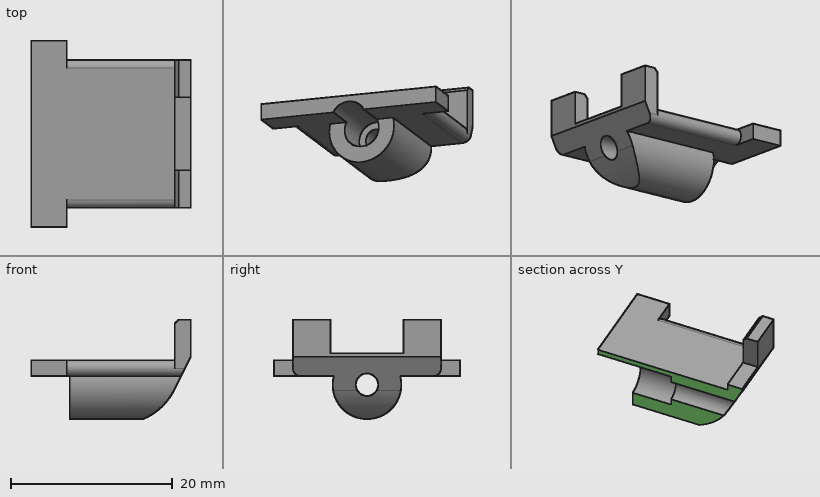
import cadquery as cq

total_length = 19.7
plate_width = 18.3
plate_thickness = 2.0
side_radius = plate_thickness / 2
mid_plate_height = -plate_thickness / 2

ear_span = 23.0
ear_length = 4.4

wall_thickness = 2.0
wall_height = 5.0
notch_width = 9.0
notch_floor_height = 0.85
post_chamfer = 0.5
wall_front = total_length - wall_thickness

barrel_radius = 4.25
barrel_front = 4.75
barrel_bottom = -7.3
barrel_axis_height = barrel_bottom + barrel_radius

hole_diameter = 2.75
counterbore_diameter = 4.5
counterbore_end_x = 10.0

slope_rise_per_run = 2.0
slope_top = 0.4
curve_start_height = -3.7
curve_end_x = 13.8

clearance = 1.0


def make_box(x_start, x_end, width, z_bottom, z_top):
    """Box centred on Y = 0."""
    size = (x_end - x_start, width, z_top - z_bottom)
    return cq.Workplane("XY").box(*size, centered=(False, True, False)).translate((x_start, 0, z_bottom))


def make_rod(diameter, x_start, x_end):
    """Cylinder on the barrel axis."""
    section = cq.Workplane("YZ", origin=(x_start, 0, barrel_axis_height)).circle(diameter / 2)
    return section.extrude(x_end - x_start)


def make_plate():
    """Plate with fully rounded sides behind the ears."""
    front = make_box(0, ear_length, ear_span, -plate_thickness, 0)
    flat_width = plate_width - 2 * side_radius
    rear = make_box(ear_length, total_length, flat_width, -plate_thickness, 0)
    for side in (-1, 1):
        centre = (ear_length, side * flat_width / 2, mid_plate_height)
        rounded_side = cq.Workplane("YZ", origin=centre).circle(side_radius)
        rear = rear.union(rounded_side.extrude(total_length - ear_length))
    return front.union(rear)


def make_wall():
    """Rear wall, square-sided down to mid-plate, with chamfered posts beside the notch."""
    wall = make_box(wall_front, total_length, plate_width, mid_plate_height, wall_height)
    wall = wall.faces("<X").edges(">Z").chamfer(post_chamfer)
    notch = make_box(
        wall_front - clearance,
        total_length + clearance,
        notch_width,
        notch_floor_height,
        wall_height + clearance,
    )
    return wall.cut(notch)


def make_barrel():
    """Round barrel, with its top cut off inside the plate."""
    rod = make_rod(2 * barrel_radius, barrel_front, total_length)
    kept_space = make_box(barrel_front, total_length, 2 * barrel_radius, barrel_bottom, mid_plate_height)
    return rod.intersect(kept_space)


def slope_x(height):
    """X of the sloped rear face at a given height."""
    return total_length + (height - slope_top) / slope_rise_per_run


def make_undercut():
    """Material removed behind the sloped and rounded rear face."""
    outer_x = total_length + clearance
    lower_z = barrel_bottom - clearance
    curve_start = (slope_x(curve_start_height), curve_start_height)
    profile = (
        cq.Workplane("XZ")
        .moveTo(total_length, slope_top)
        .lineTo(*curve_start)
        .tangentArcPoint((curve_end_x, barrel_bottom), relative=False)
        .lineTo(curve_end_x, lower_z)
        .lineTo(outer_x, lower_z)
        .lineTo(outer_x, slope_top)
        .close()
    )
    return profile.extrude(ear_span / 2, both=True)


def make_bore():
    """Through hole with a counterbore that also grooves the plate underside."""
    hole = make_rod(hole_diameter, -clearance, total_length + clearance)
    counterbore = make_rod(counterbore_diameter, -clearance, counterbore_end_x)
    return hole.union(counterbore)


result = make_plate().union(make_wall()).union(make_barrel())
result = result.cut(make_undercut()).cut(make_bore())